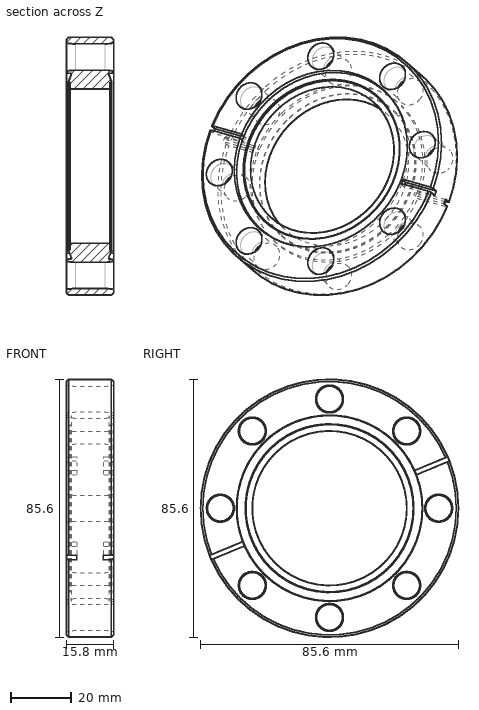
import cadquery as cq

outer_diameter = 85.6
thickness = 15.75
bore_diameter = 51.2
rim_chamfer = 0.8

recess_radius = 30.9
recess_floor_radius = 30.7
recess_depth = 1.7
knife_radius = 28.0
knife_tip_depth = 0.7
knife_bevel_depth = 0.9
seat_radius = 27.7
seat_depth = 1.3

bolt_count = 8
bolt_circle_radius = 36.2
bolt_hole_diameter = 8.6
bolt_mouth_diameter = 9.25
bolt_taper_depth = 2.9

groove_angle = 22.5
groove_width = 1.5
groove_depth = 3.5

outer_radius = outer_diameter / 2
bore_radius = bore_diameter / 2
half_thickness = thickness / 2


def make_ring():
    """Revolve half of the cross-section about X and mirror it to the other face."""
    profile = [
        (0, bore_radius),
        (0, outer_radius),
        (-half_thickness + rim_chamfer, outer_radius),
        (-half_thickness, outer_radius - rim_chamfer),
        (-half_thickness, recess_radius),
        (-half_thickness + recess_depth, recess_floor_radius),
        (-half_thickness + knife_tip_depth, knife_radius),
        (-half_thickness + knife_bevel_depth, seat_radius),
        (-half_thickness + seat_depth, seat_radius),
        (-half_thickness + seat_depth, bore_radius),
    ]
    half = cq.Workplane("XY").polyline(profile).close().revolve(360, (0, 0, 0), (1, 0, 0))
    return half.union(half.mirror("YZ"))


def make_bolt_holes():
    """Through holes on the bolt circle, each widening in a slender taper to a mouth at both faces."""
    hole_radius = bolt_hole_diameter / 2
    mouth_radius = bolt_mouth_diameter / 2
    taper_end = half_thickness - bolt_taper_depth
    profile = [
        (-half_thickness, 0),
        (-half_thickness, mouth_radius),
        (-taper_end, hole_radius),
        (taper_end, hole_radius),
        (half_thickness, mouth_radius),
        (half_thickness, 0),
    ]
    hole = cq.Workplane("XY").polyline(profile).close().revolve(360, (0, 0, 0), (1, 0, 0))
    hole = hole.translate((0, 0, bolt_circle_radius))

    holes = cq.Workplane("XY")
    for index in range(bolt_count):
        holes = holes.add(hole.rotate((0, 0, 0), (1, 0, 0), index * 360 / bolt_count))
    return holes.combine()


def make_grooves():
    """Two opposite radial grooves per face, running from the recess wall out through the rim."""
    across = cq.Workplane("XY").box(groove_depth, outer_diameter, groove_width)
    core = cq.Workplane("YZ").circle(recess_radius).extrude(thickness, both=True)
    across = across.rotate((0, 0, 0), (1, 0, 0), groove_angle)
    offset = half_thickness - groove_depth / 2
    pair = across.translate((-offset, 0, 0)).union(across.translate((offset, 0, 0)))
    return pair.cut(core)


result = make_ring().cut(make_bolt_holes()).cut(make_grooves())